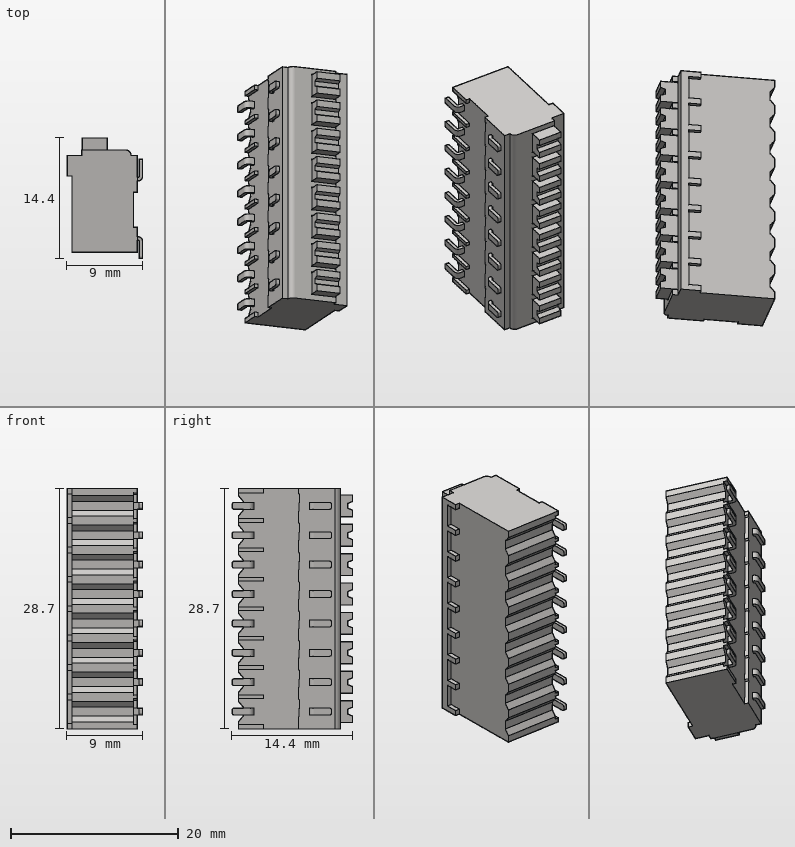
import cadquery as cq

row_length = 28.7
pole_count = 8
pole_pitch = 3.5
cell_width = 2.8

total_depth = 9.0
total_height = 14.38
housing_left = 0.57
housing_right = 8.38
housing_bottom = 0.75
shoulder_height = 12.28
crown_height = 12.95
crown_left = 1.72
crown_right = 7.63
crown_radius = crown_height - shoulder_height
lip_bottom = 9.82
lip_bar_bottom = 11.3

recess_floor = 7.92
recess_bottom = 3.75
recess_top = 7.9

slot_width = 3.07
notch_depth = 0.17
notch_run = 0.2

groove_mouth = 2.45
groove_floor = 1.05
groove_depth = 0.57

lever_left = 1.78
lever_right = 4.8
lever_width = 2.65
lever_notch_mouth = 1.03
lever_notch_floor = 0.57
lever_notch_depth = 0.57

crown_gap_right = lever_right + (lever_left - crown_left)

pin_thickness = 0.43
pin_width = 0.83
pin_length = 2.6
pin_bend_inner = 0.15
pin_bend_outer = pin_bend_inner + pin_thickness
pin_tip_radius = 0.25
upper_pin_tip = 11.85
pin_embed = 0.3
pin_root = recess_floor - pin_embed

first_pole = (row_length - (pole_count - 1) * pole_pitch) / 2
pole_centers = [first_pole + index * pole_pitch for index in range(pole_count)]


def box(x_range, y_range, z_range):
    """Axis-aligned block spanning the given (low, high) ranges."""
    sizes = [high - low for low, high in (x_range, y_range, z_range)]
    return cq.Workplane("XY").box(*sizes, centered=False).translate((x_range[0], y_range[0], z_range[0]))


def centered_range(center, width):
    """(low, high) range of the given width about a center."""
    return (center - width / 2, center + width / 2)


def extrude_along_x(points, x_start, x_end):
    """Prism along X from a closed outline of (y, z) points."""
    return cq.Workplane("YZ").workplane(offset=x_start).polyline(points).close().extrude(x_end - x_start)


def trapezoid(center, mouth_y, floor_y, mouth_width, floor_width):
    """Outline of (y, z) points for a notch that narrows from its mouth to its floor."""
    mouth_low, mouth_high = centered_range(center, mouth_width)
    floor_low, floor_high = centered_range(center, floor_width)
    return [(mouth_y, mouth_low), (mouth_y, mouth_high), (floor_y, floor_high), (floor_y, floor_low)]


def make_housing():
    """Prism along Z with the lip, the rounded crown and the pin-side recess."""
    return (
        cq.Workplane("XY")
        .moveTo(housing_left, housing_bottom)
        .lineTo(housing_right, housing_bottom)
        .lineTo(housing_right, recess_bottom)
        .lineTo(recess_floor, recess_bottom)
        .lineTo(recess_floor, recess_top)
        .lineTo(housing_right, recess_top)
        .lineTo(housing_right, shoulder_height)
        .lineTo(crown_right, shoulder_height)
        .radiusArc((crown_right - crown_radius, crown_height), -crown_radius)
        .lineTo(crown_left, crown_height)
        .lineTo(crown_left, shoulder_height)
        .lineTo(0, shoulder_height)
        .lineTo(0, lip_bottom)
        .lineTo(housing_left, lip_bottom)
        .close()
        .extrude(row_length)
    )


def make_pole_cuts(center):
    """Everything removed from the housing at one pole."""
    cell = centered_range(center, cell_width)
    slot_low, slot_high = centered_range(center, slot_width)
    lip_window = box((0, housing_left), (lip_bottom, lip_bar_bottom), cell)
    crown_gap = box((crown_left, crown_gap_right), (shoulder_height, crown_height), cell)
    foot_slot = box((recess_floor, housing_right), (housing_bottom, recess_bottom), (slot_low, slot_high))
    block_notch = extrude_along_x(
        [
            (recess_top, slot_low),
            (recess_top + notch_depth, slot_high - notch_run),
            (recess_top, slot_high),
        ],
        recess_floor,
        housing_right,
    )
    bottom_groove = extrude_along_x(
        trapezoid(center, housing_bottom, housing_bottom + groove_depth, groove_mouth, groove_floor),
        housing_left,
        recess_floor,
    )
    return [lip_window, crown_gap, foot_slot, block_notch, bottom_groove]


def make_lever(center):
    """Release lever standing in the crown gap, with a screwdriver notch in its end."""
    lever = box(
        (lever_left, lever_right),
        (shoulder_height, total_height),
        centered_range(center, lever_width),
    )
    notch = extrude_along_x(
        trapezoid(
            center,
            total_height,
            total_height - lever_notch_depth,
            lever_notch_mouth,
            lever_notch_floor,
        ),
        lever_left,
        lever_right,
    )
    return lever.cut(notch)


def make_pin(center, tip_y, direction):
    """Pin leaving the housing along +X, bent to run along Y; direction is +1 or -1 toward the tip."""
    outer_y = tip_y - direction * pin_length
    inner_y = outer_y + direction * pin_thickness
    bend_y = outer_y + direction * pin_bend_outer
    inner_x = total_depth - pin_thickness
    bend_x = total_depth - pin_bend_outer
    return (
        cq.Workplane("XY")
        .moveTo(pin_root, outer_y)
        .lineTo(bend_x, outer_y)
        .radiusArc((total_depth, bend_y), -direction * pin_bend_outer)
        .lineTo(total_depth, tip_y)
        .lineTo(inner_x, tip_y)
        .lineTo(inner_x, bend_y)
        .radiusArc((bend_x, inner_y), direction * pin_bend_inner)
        .lineTo(pin_root, inner_y)
        .close()
        .extrude(pin_width)
        .translate((0, 0, center - pin_width / 2))
        .edges(cq.selectors.BoxSelector(
            (inner_x - pin_bend_inner, tip_y - pin_bend_inner, 0),
            (total_depth + pin_bend_inner, tip_y + pin_bend_inner, row_length),
        ))
        .edges("|X")
        .fillet(pin_tip_radius)
    )


result = make_housing()
for pole_center in pole_centers:
    for cutter in make_pole_cuts(pole_center):
        result = result.cut(cutter)
for pole_center in pole_centers:
    result = result.union(make_lever(pole_center))
    result = result.union(make_pin(pole_center, 0, -1))
    result = result.union(make_pin(pole_center, upper_pin_tip, 1))